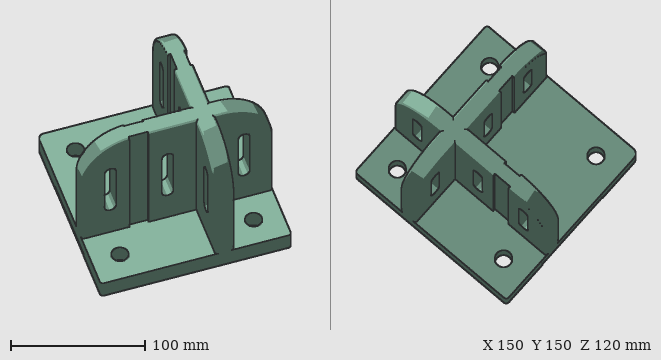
import cadquery as cq

side = 150.0
base_thickness = 15.0
corner_radius = 2.5
front_left_corner_radius = 5.0
hole_diameter = 13.0
hole_offset = 52.5

recess_width = 67.5
recess_height = 2.2
left_recess_depth = 1.5
front_recess_depth = 0.2

total_height = 120.0
wall_thickness = 15.0
wall_offset = 22.5
wall_corner_radius = 40.0
wall_edge_fillet = 2.1

groove_width = 15.0
groove_position = -30.0
groove_depth = wall_edge_fillet

slot_width = 9.0
slot_bottom = 41.0
slot_top = 90.0
slot_positions = (-52.5, -7.5, 52.5)


def make_base():
    base = cq.Workplane("XY").box(side, side, base_thickness, centered=(True, True, False))
    base = base.edges("|Z and (>X or >Y)").fillet(corner_radius)
    base = base.edges("|Z and <X and <Y").fillet(front_left_corner_radius)
    return base


def cut_mounting_holes(body):
    spacing = 2 * hole_offset
    holes = (
        cq.Workplane("XY")
        .rect(spacing, spacing, forConstruction=True)
        .vertices()
        .circle(hole_diameter / 2)
        .extrude(base_thickness)
    )
    return body.cut(holes)


def cut_edge_recesses(body):
    left_recess = cq.Workplane("XY").box(
        left_recess_depth, recess_width, recess_height, centered=(False, True, False)
    )
    front_recess = cq.Workplane("XY").box(
        recess_width, front_recess_depth, recess_height, centered=(True, False, False)
    )
    body = body.cut(left_recess.translate((-side / 2, 0, 0)))
    return body.cut(front_recess.translate((0, -side / 2, 0)))


def make_wall():
    """Wall along X, centred on Y = 0, standing on the base plate."""
    wall_height = total_height - base_thickness
    wall = cq.Workplane("XY").box(side, wall_thickness, wall_height, centered=(True, True, False))
    wall = wall.translate((0, 0, base_thickness))
    wall = wall.edges("|Y and >Z").fillet(wall_corner_radius)
    wall = wall.faces("<Y or >Y").edges("not <Z").fillet(wall_edge_fillet)

    groove = cq.Workplane("XY").box(groove_width, groove_depth, wall_height, centered=(True, True, False))
    for face_side in (-1, 1):
        groove_y = face_side * (wall_thickness - groove_depth) / 2
        wall = wall.cut(groove.translate((groove_position, groove_y, base_thickness)))

    slot_middle = (slot_bottom + slot_top) / 2
    slots = (
        cq.Workplane("XZ")
        .pushPoints([(x, slot_middle) for x in slot_positions])
        .slot2D(slot_top - slot_bottom, slot_width, 90)
        .extrude(wall_thickness, both=True)
    )
    return wall.cut(slots)


wall = make_wall()
wall_along_x = wall.translate((0, wall_offset, 0))
wall_along_y = wall.rotate((0, 0, 0), (0, 0, 1), 90).translate((wall_offset, 0, 0))

base = cut_edge_recesses(cut_mounting_holes(make_base()))
result = base.union(wall_along_x).union(wall_along_y)